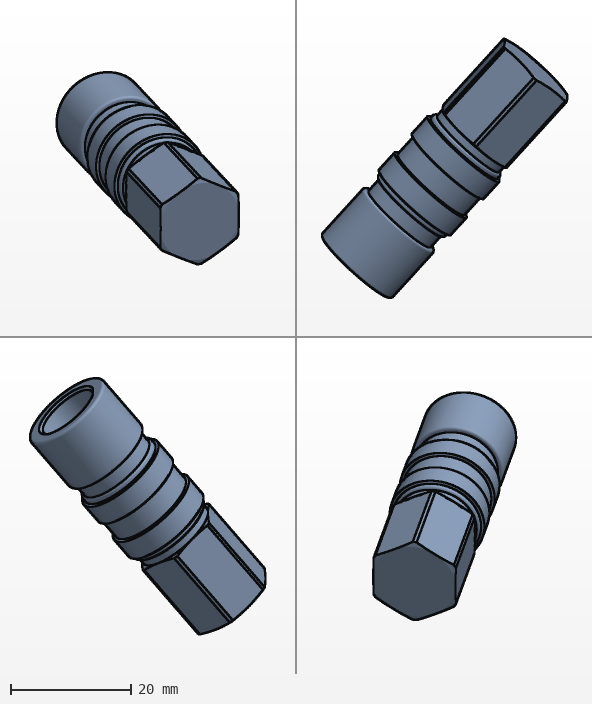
import cadquery as cq
import math

length = 44.9
sleeve_end = 10.85
body_start = 13.5
body_end = 27.95
hex_start = 29.35

sleeve_dia = 15.8
neck_dia = 14.0
body_dia = 15.1
ring_dia = 16.15

ring_inset = 1.0
ring_base_width = 4.2
ring_starts = (body_start + ring_inset, body_end - ring_inset - ring_base_width)

across_flats = neck_dia
hex_corner_dia = sleeve_dia

bore_dia = 10.55
bore_mouth_dia = 11.45
bore_depth = sleeve_end

edge_round = 0.5
side_lean = math.radians(15)


def cylinder(start, end, diameter):
    """Solid cylinder on the X axis between two stations."""
    return cq.Workplane("YZ", origin=(start, 0, 0)).circle(diameter / 2).extrude(end - start)


def rounded_cylinder(start, end, diameter):
    return cylinder(start, end, diameter).edges().fillet(edge_round)


def cone_ended_cylinder(start, end, diameter, end_diameter):
    """Cylinder whose two ends lean inwards down to a smaller end diameter."""
    radius = diameter / 2
    end_radius = end_diameter / 2
    lean_length = (radius - end_radius) * math.tan(side_lean)
    return (
        cq.Workplane("XY")
        .moveTo(start, 0)
        .lineTo(start, end_radius)
        .lineTo(start + lean_length, radius)
        .lineTo(end - lean_length, radius)
        .lineTo(end, end_radius)
        .lineTo(end, 0)
        .close()
        .revolve(360, (0, 0, 0), (1, 0, 0))
    )


def hexagon():
    """Hexagonal end with its corners turned down and both ends chamfered to the flats."""
    corner_to_corner = across_flats / math.cos(math.pi / 6)
    prism = (
        cq.Workplane("YZ", origin=(hex_start, 0, 0))
        .polygon(6, corner_to_corner)
        .extrude(length - hex_start)
        .rotate((0, 0, 0), (1, 0, 0), 90)
    )
    return prism.intersect(cone_ended_cylinder(hex_start, length, hex_corner_dia, across_flats))


def bore():
    """Blind bore with a 45 degree chamfer at its mouth."""
    mouth_radius = bore_mouth_dia / 2
    bore_radius = bore_dia / 2
    return (
        cq.Workplane("XY")
        .lineTo(0, mouth_radius)
        .lineTo(mouth_radius - bore_radius, bore_radius)
        .lineTo(bore_depth, bore_radius)
        .lineTo(bore_depth, 0)
        .close()
        .revolve(360, (0, 0, 0), (1, 0, 0))
    )


result = cylinder(sleeve_end, hex_start, neck_dia)
result = result.union(rounded_cylinder(0, sleeve_end, sleeve_dia))
result = result.union(rounded_cylinder(body_start, body_end, body_dia))
for ring_start in ring_starts:
    ring_end = ring_start + ring_base_width
    result = result.union(cone_ended_cylinder(ring_start, ring_end, ring_dia, body_dia))
result = result.union(hexagon())
result = result.cut(bore())